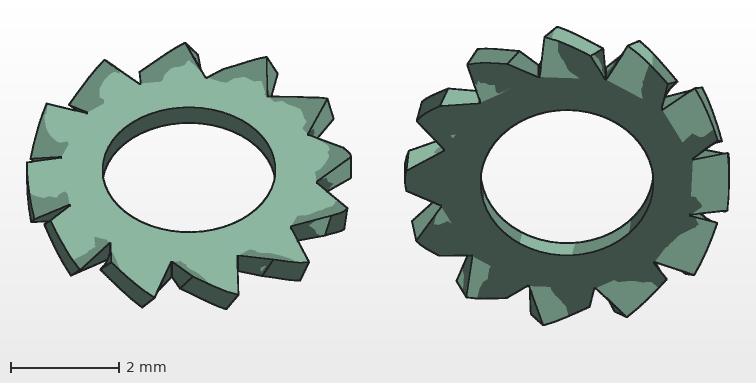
import cadquery as cq
import math

outer_diameter = 6.0
bore_diameter = 3.2
thickness = 0.42
tooth_count = 12
flat_distance = 4.61
root_width = 1.21
tip_width = 1.08
tip_thickness = 0.385
tip_twist = 38.5

outer_radius = outer_diameter / 2
root_radius = flat_distance / 2
pitch_angle = 360 / tooth_count


def make_body():
    """Flat twelve-sided plate whose flats face the tooth directions."""
    corner_diameter = flat_distance / math.cos(math.radians(pitch_angle / 2))
    plate = cq.Workplane("XY").polygon(tooth_count, corner_diameter).extrude(thickness)
    plate = plate.rotate((0, 0, 0), (0, 0, 1), pitch_angle / 2)
    return plate.translate((0, 0, -thickness / 2))


def tooth_section(radius, width, height, twist):
    """Rectangle across the +X radial axis, turned by the twist angle."""
    plane = cq.Plane(origin=(radius, 0, 0), xDir=(0, 1, 0), normal=(1, 0, 0))
    plane = plane.rotated((0, 0, -twist))
    return cq.Workplane(plane).rect(width, height).val()


def make_tooth():
    """Ruled twist from the flat root to the turned tip, trimmed to the outer cylinder."""
    root = tooth_section(root_radius, root_width, thickness, 0)
    tip = tooth_section(outer_radius, tip_width, tip_thickness, tip_twist)
    blade = cq.Workplane(cq.Solid.makeLoft([root, tip], True))
    rim = cq.Workplane("XY").circle(outer_radius).extrude(outer_diameter / 2, both=True)
    return blade.intersect(rim)


result = make_body()
tooth = make_tooth()
for index in range(tooth_count):
    result = result.union(tooth.rotate((0, 0, 0), (0, 0, 1), index * pitch_angle))

bore = cq.Workplane("XY").circle(bore_diameter / 2).extrude(thickness, both=True)
result = result.cut(bore)